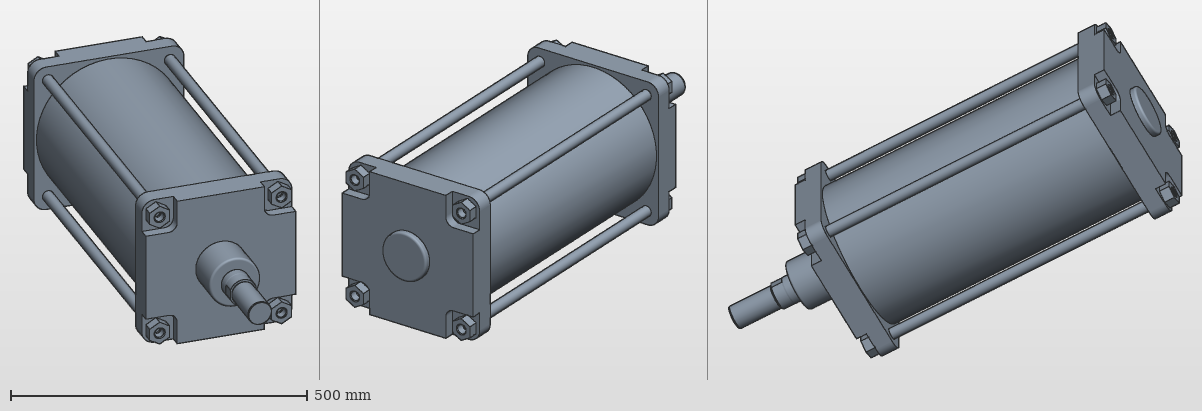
import cadquery as cq
import math


overall_length = 801.0
cap_width = 270.0
cap_thickness = 50.5
cap_corner_radius = 22.5
barrel_length = 497.0
barrel_diameter = 261.0

boss_diameter = 90.5
collar_length = 11.0
boss_length = 70.0
boss_edge_radius = 4.0

recess_depth = 19.0
recess_wall_offset = 78.5
recess_radius = 16.0

tie_rod_offset = 110.0
tie_rod_diameter = 20.0
nut_width_across_flats = 36.0
nut_height = 18.5

end_hole_diameter = 17.0
end_hole_depth = 20.0
end_hole_chamfer = 2.0

rod_diameter = 50.0
rod_end_diameter = 49.0
rod_shoulder_length = 39.0
rod_step_length = 2.5
wrench_flat_width = 46.0
wrench_flat_length = 21.0
thread_diameter = 42.5
thread_chamfer_length = 2.5
thread_chamfer_height = 1.0

rear_cap_outer = collar_length
rear_cap_inner = rear_cap_outer + cap_thickness
front_cap_inner = rear_cap_inner + barrel_length
front_cap_outer = front_cap_inner + cap_thickness
boss_end = front_cap_outer + boss_length
shoulder_end = boss_end + rod_shoulder_length
wrench_flat_start = shoulder_end - wrench_flat_length
tie_rod_start = rear_cap_outer + recess_depth - nut_height
tie_rod_end = front_cap_outer - recess_depth + nut_height

corners = [(y_side, z_side) for y_side in (-1, 1) for z_side in (-1, 1)]


def section(x):
    """Workplane normal to +X at station x, with local axes along Y and Z."""
    return cq.Workplane("YZ", origin=(x, 0, 0))


def cylinder(x_start, x_end, diameter):
    return section(x_start).circle(diameter / 2).extrude(x_end - x_start)


def cap_plate(x_inner, x_outer, x_boss_end):
    """Square cap with a round boss, four nut recesses and tie rod holes."""
    direction = math.copysign(1, x_outer - x_inner)
    plate = section(x_inner).rect(cap_width, cap_width).extrude(x_outer - x_inner)
    plate = plate.edges("|X").fillet(cap_corner_radius)

    recess_size = cap_width - recess_wall_offset
    recess_center = recess_wall_offset + recess_size / 2
    for y_side, z_side in corners:
        recess = (
            section(x_outer)
            .center(y_side * recess_center, z_side * recess_center)
            .rect(recess_size, recess_size)
            .extrude(-direction * recess_depth)
            .edges("|X")
            .fillet(recess_radius)
        )
        rod_hole = (
            section(x_inner)
            .center(y_side * tie_rod_offset, z_side * tie_rod_offset)
            .circle(tie_rod_diameter / 2)
            .extrude(x_outer - x_inner)
        )
        plate = plate.cut(recess).cut(rod_hole)

    boss = cylinder(x_outer, x_boss_end, boss_diameter)
    end_face = ">X" if direction > 0 else "<X"
    boss = boss.faces(end_face).fillet(boss_edge_radius)
    return plate.union(boss)


def make_rear_cap():
    return cap_plate(rear_cap_inner, rear_cap_outer, 0)


def make_front_cap():
    rod_bore = cylinder(front_cap_inner, boss_end, rod_diameter)
    return cap_plate(front_cap_inner, front_cap_outer, boss_end).cut(rod_bore)


def make_barrel():
    return cylinder(rear_cap_inner, front_cap_inner, barrel_diameter)


def make_piston_rod():
    """Rod through the front cap, with a slimmer end, two wrench flats and a threaded stub."""
    rod = cylinder(front_cap_inner, wrench_flat_start, rod_diameter)
    rod = rod.faces(">X").chamfer(rod_step_length, (rod_diameter - rod_end_diameter) / 2)

    flat_sides = section(wrench_flat_start).rect(wrench_flat_width, rod_diameter).extrude(wrench_flat_length)
    wrench_section = cylinder(wrench_flat_start, shoulder_end, rod_end_diameter).intersect(flat_sides)

    thread = cylinder(shoulder_end, overall_length, thread_diameter)
    thread = thread.faces("<X or >X").chamfer(thread_chamfer_length, thread_chamfer_height)
    return rod.union(wrench_section).union(thread)


def make_tie_rod(y_side, z_side):
    """Tie rod with a hexagon nut in each recess and a countersunk blind hole in each end."""
    y = y_side * tie_rod_offset
    z = z_side * tie_rod_offset
    rod = (
        section(tie_rod_start)
        .center(y, z)
        .circle(tie_rod_diameter / 2)
        .extrude(tie_rod_end - tie_rod_start)
    )
    nut_width_across_corners = nut_width_across_flats / math.cos(math.pi / 6)
    for end_face, inward in ((tie_rod_start, 1), (tie_rod_end, -1)):
        nut = (
            section(end_face)
            .center(y, z)
            .transformed(rotate=(0, 0, 90))
            .polygon(6, nut_width_across_corners)
            .extrude(inward * nut_height)
        )
        hole = section(end_face).center(y, z).circle(end_hole_diameter / 2).extrude(inward * end_hole_depth)
        rod = rod.union(nut).cut(hole)
    return rod.faces("<X or >X").edges("%CIRCLE").chamfer(end_hole_chamfer)


rear_cap = make_rear_cap()
front_cap = make_front_cap()
barrel = make_barrel()
piston_rod = make_piston_rod()
tie_rods = [make_tie_rod(y_side, z_side) for y_side, z_side in corners]

result = cq.Compound.makeCompound(
    [rear_cap.val(), front_cap.val(), barrel.val(), piston_rod.val()]
    + [tie_rod.val() for tie_rod in tie_rods]
)